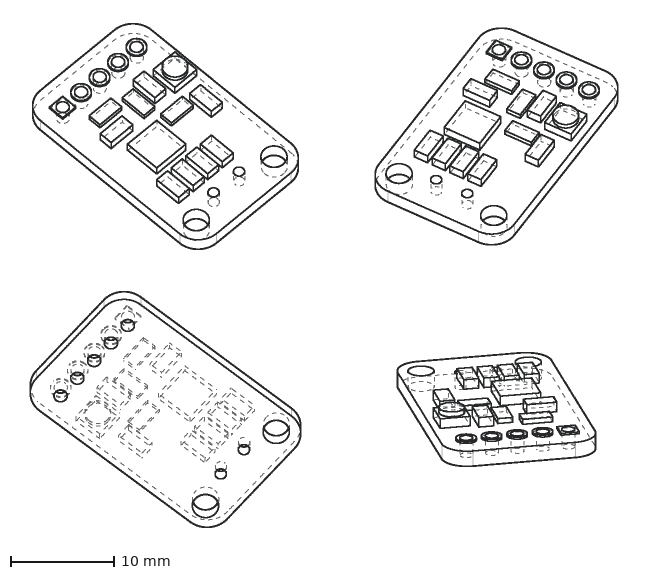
import cadquery as cq

BOARD_LENGTH = 24.13
BOARD_WIDTH = 15.25
BOARD_THICKNESS = 1.6
CORNER_RADIUS = 2.53

HEADER_X = -9.02
HEADER_PITCH = 2.53
HEADER_COUNT = 5
HEADER_HOLE_DIAMETER = 1.28
PAD_DIAMETER = 2.0
SQUARE_PAD_SIDE = 1.8
PAD_HEIGHT = 0.2

MOUNT_HOLE_DIAMETER = 2.53
MOUNT_HOLE_X = BOARD_LENGTH / 2 - CORNER_RADIUS
MOUNT_HOLE_Y = 5.33
LOCATING_HOLE_DIAMETER = 1.09
LOCATING_HOLE_X = 8.4
LOCATING_HOLE_SPACING = 3.5
LOCATING_HOLES_MID_Y = -0.07

TALL_HEIGHT = 1.0
LOW_HEIGHT = 0.5
CHIP_LENGTH = 3.0
CHIP_WIDTH = CHIP_LENGTH / 2
ALONG_X = (CHIP_LENGTH, CHIP_WIDTH)
ALONG_Y = (CHIP_WIDTH, CHIP_LENGTH)

CHIPS = [
    ((0.43, 5.12), ALONG_X, TALL_HEIGHT),
    ((-4.58, 2.4), ALONG_X, TALL_HEIGHT),
    ((-3.06, -3.65), ALONG_Y, TALL_HEIGHT),
    ((-0.82, 2.4), ALONG_Y, LOW_HEIGHT),
    ((-4.08, 0.39), ALONG_X, LOW_HEIGHT),
    ((-5.57, -2.65), ALONG_Y, LOW_HEIGHT),
]

CHIP_COLUMN_X = 5.43
CHIP_COLUMN_MID_Y = -1.4
CHIP_COLUMN_PITCH = 2.0
CHIP_COLUMN_COUNT = 4

IC_SIDE = 4.0
IC_CENTER = (0.95, -2.15)

BUTTON_SIDE = 3.0
BUTTON_CENTER = (-4.08, 5.38)
CAP_DIAMETER = 2.5
CAP_HEIGHT = 0.5


def row_positions(middle, pitch, count):
    """Evenly spaced coordinates about a middle value, in rising order."""
    return [middle + pitch * (i - (count - 1) / 2) for i in range(count)]


def block(center, footprint, height):
    """Rectangular body standing on the board."""
    return (
        cq.Workplane("XY", origin=(*center, BOARD_THICKNESS))
        .rect(*footprint)
        .extrude(height)
    )


def disc(center, diameter, height, base_z=BOARD_THICKNESS):
    """Round body standing at the given level."""
    return cq.Workplane("XY", origin=(*center, base_z)).circle(diameter / 2).extrude(height)


def drill(body, centers, diameter):
    """Cut round holes through the whole height of the body."""
    holes = cq.Workplane("XY").pushPoints(centers).circle(diameter / 2)
    return body.cut(holes.extrude(BOARD_THICKNESS + PAD_HEIGHT))


def make_board():
    return (
        cq.Workplane("XY")
        .rect(BOARD_LENGTH, BOARD_WIDTH)
        .extrude(BOARD_THICKNESS)
        .edges("|Z")
        .fillet(CORNER_RADIUS)
    )


def add_header(body):
    centers = [(HEADER_X, y) for y in row_positions(0, HEADER_PITCH, HEADER_COUNT)]
    body = body.union(block(centers[0], (SQUARE_PAD_SIDE, SQUARE_PAD_SIDE), PAD_HEIGHT))
    for center in centers[1:]:
        body = body.union(disc(center, PAD_DIAMETER, PAD_HEIGHT))
    return drill(body, centers, HEADER_HOLE_DIAMETER)


def add_chips(body):
    for center, footprint, height in CHIPS:
        body = body.union(block(center, footprint, height))
    for y in row_positions(CHIP_COLUMN_MID_Y, CHIP_COLUMN_PITCH, CHIP_COLUMN_COUNT):
        body = body.union(block((CHIP_COLUMN_X, y), ALONG_X, TALL_HEIGHT))
    return body.union(block(IC_CENTER, (IC_SIDE, IC_SIDE), TALL_HEIGHT))


def add_button(body):
    body = body.union(block(BUTTON_CENTER, (BUTTON_SIDE, BUTTON_SIDE), TALL_HEIGHT))
    return body.union(disc(BUTTON_CENTER, CAP_DIAMETER, CAP_HEIGHT, BOARD_THICKNESS + TALL_HEIGHT))


def cut_board_holes(body):
    mount_centers = [(MOUNT_HOLE_X, y) for y in (-MOUNT_HOLE_Y, MOUNT_HOLE_Y)]
    body = drill(body, mount_centers, MOUNT_HOLE_DIAMETER)
    locating_ys = row_positions(LOCATING_HOLES_MID_Y, LOCATING_HOLE_SPACING, 2)
    return drill(body, [(LOCATING_HOLE_X, y) for y in locating_ys], LOCATING_HOLE_DIAMETER)


result = cut_board_holes(add_button(add_chips(add_header(make_board()))))